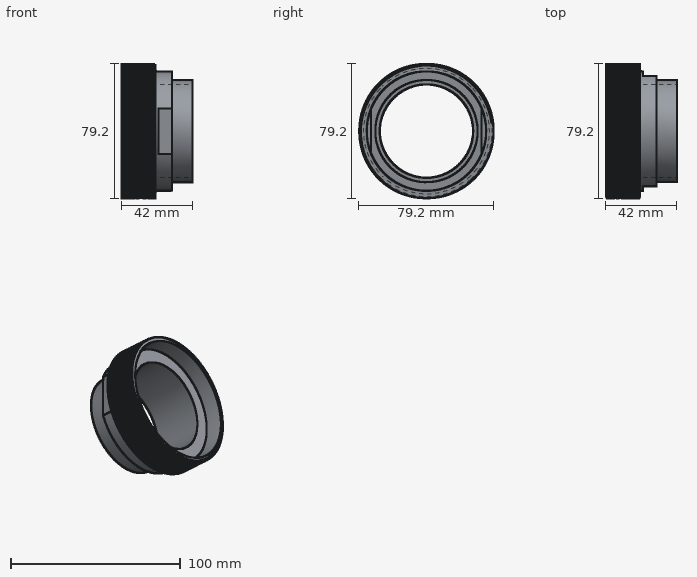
import cadquery as cq
import math

thread_length = 20.0
flat_start = 22.0
collar_end = 30.0
total_length = 42.0

thread_crest_radius = 39.6
collar_radius = 35.2
spigot_radius = 30.15
collar_fillet = 1.0
across_flats = 65.1

bore_radius = 27.45
recess_mouth_radius = 37.05
recess_floor_radius = 35.6
recess_depth = 10.0

pitch = 2.0
thread_depth = 0.95
crest_width = 0.9
root_width = 0.4
ridge_station_at_plus_y = 0.17
ridge_embed = 0.3
overrun_turns = 2
trim_margin = 1.0

thread_root_radius = thread_crest_radius - thread_depth


def make_body():
    """Half section with the thread at its root radius, turned about the X axis."""
    fillet_bend = collar_fillet * (1 - math.sqrt(0.5))
    return (
        cq.Workplane("XY")
        .moveTo(0, recess_mouth_radius)
        .lineTo(0, thread_root_radius)
        .lineTo(thread_length, thread_root_radius)
        .lineTo(thread_length, collar_radius + collar_fillet)
        .threePointArc(
            (thread_length + fillet_bend, collar_radius + fillet_bend),
            (thread_length + collar_fillet, collar_radius),
        )
        .lineTo(collar_end, collar_radius)
        .lineTo(collar_end, spigot_radius)
        .lineTo(total_length, spigot_radius)
        .lineTo(total_length, bore_radius)
        .lineTo(recess_depth, bore_radius)
        .lineTo(recess_depth, recess_floor_radius)
        .close()
        .revolve(360, (0, 0, 0), (1, 0, 0))
    )


def make_thread_ridge():
    """Trapezoidal helical ridge, swept about Z, laid along X and trimmed to length."""
    half_crest = crest_width / 2
    half_root = (pitch - root_width) / 2
    flank_slope = (half_root - half_crest) / thread_depth
    base_radius = thread_root_radius - ridge_embed
    half_base = half_root + flank_slope * ridge_embed

    helix_height = thread_length + 2 * overrun_turns * pitch
    helix = cq.Wire.makeHelix(pitch, helix_height, base_radius)
    ridge = (
        cq.Workplane("XZ")
        .moveTo(base_radius, -half_base)
        .lineTo(thread_crest_radius, -half_crest)
        .lineTo(thread_crest_radius, half_crest)
        .lineTo(base_radius, half_base)
        .close()
        .sweep(cq.Workplane(obj=helix), isFrenet=True)
    )
    helix_start = ridge_station_at_plus_y - overrun_turns * pitch
    ridge = ridge.rotate((0, 0, 0), (1, 1, 1), 120).translate((helix_start, 0, 0))

    envelope = (
        cq.Workplane("YZ")
        .circle(thread_crest_radius + trim_margin)
        .circle(base_radius - trim_margin)
        .extrude(thread_length)
    )
    return envelope.intersect(ridge)


def make_flat_cutter(side):
    """Block that cuts a wrench flat on the +Y (side=1) or -Y (side=-1) of the collar."""
    block_size = 2 * collar_radius
    flat_length = collar_end - flat_start
    centre_y = side * (across_flats + block_size) / 2
    return (
        cq.Workplane("XY")
        .box(flat_length, block_size, block_size)
        .translate((flat_start + flat_length / 2, centre_y, 0))
    )


result = make_body()
for side in (1, -1):
    result = result.cut(make_flat_cutter(side))
result = result.union(make_thread_ridge())